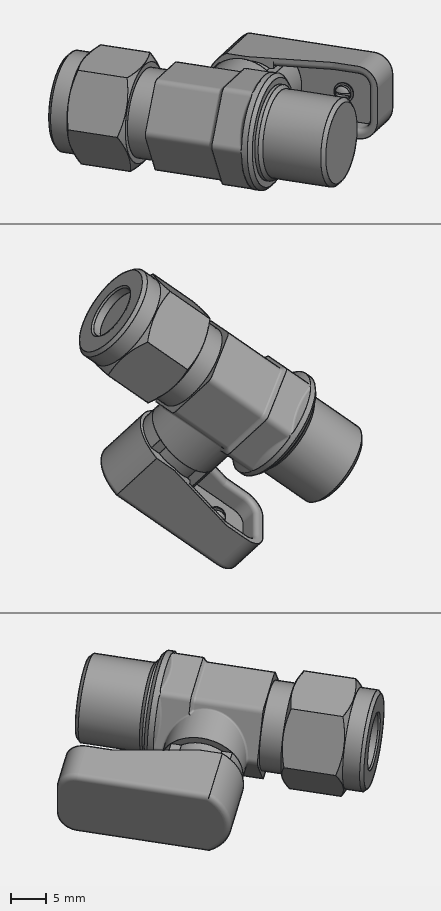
import cadquery as cq
import math

COS30 = math.cos(math.radians(30))
TAN30 = math.tan(math.radians(30))
TOLERANCE = 0.005

NUT_START = -22.9
TUBE_STOP = NUT_START + 1.5
NUT_HEX_START = NUT_START + 3.0
NUT_END = NUT_START + 12.03
SMALL_HEX_START = NUT_START + 15.35
RAMP_START = NUT_START + 25.33
RAMP_END = NUT_START + 25.85
FLANGE_START = NUT_START + 30.4
FLANGE_END = NUT_START + 31.85
COLLAR_END = FLANGE_END + 1.0
TAIL_END = NUT_START + 42.35

NUT_ACROSS_FLATS = 14.95
NUT_CORNER_RADIUS = NUT_ACROSS_FLATS / 2 / COS30
NUT_TURN_DEGREES = 4.6
NUT_COLLAR_RADIUS = 7.35
NUT_COLLAR_CHAMFER = 0.5
TUBE_RADIUS = 4.02
TUBE_CHAMFER = 0.25

SPIGOT_RADIUS = 6.55
SMALL_HEX_APOTHEM = 7.0
LARGE_HEX_APOTHEM = 7.5
HEX_EDGE_RADIUS = 1.1
RAMP_FILLET = 0.35
FLANGE_DIAMETER = 17.0
FLANGE_RADIUS = FLANGE_DIAMETER / 2
FLANGE_CHAMFER = 0.55
FLANGE_CONE_LENGTH = 0.65
CONE_FILLET = 0.35
BOSS_RADIUS = 6.0
BOSS_TOP = 10.45
BOSS_FILLET = 0.3

TAIL_RADIUS = 6.5
TAIL_CHAMFER = 0.55
COLLAR_RADIUS = 7.0

HUB_RADIUS = 5.0
LUG_HALF_HEIGHT = 4.02
HANDLE_BOTTOM = 12.45
HANDLE_TIP_BOTTOM = 15.05
HANDLE_TOP = 21.5
HANDLE_HALF_HEIGHT = 5.6
HANDLE_NOSE_RADIUS = 6.55
HANDLE_END = 18.85
SLOPE_START = -0.15
SLOPE_END = 12.0
HANDLE_CORNER_RADIUS = 3.05
HANDLE_TOP_FILLET = 0.8
HANDLE_WALL = 1.3
WALL_EDGE_RADIUS = 0.7
POCKET_START = 3.55
POCKET_END = HANDLE_END - HANDLE_WALL
POCKET_HALF_HEIGHT = HANDLE_HALF_HEIGHT - HANDLE_WALL
POCKET_FLOOR = 17.87

SCREW_X = 12.55
SCREW_RIM_RADIUS = 1.5
SCREW_RIM_HEIGHT = 0.15
SCREW_HEAD_RADIUS = 1.2
SCREW_HEAD_HEIGHT = 0.5
SCREW_DOME_HEIGHT = 0.5
SCREW_SLOT_WIDTH = 0.55
SCREW_SLOT_DEPTH = 0.85


def cylinder_x(start, end, radius):
    return cq.Workplane("YZ").workplane(offset=start).circle(radius).extrude(end - start)


def cylinder_y(start, end, radius):
    return cq.Workplane("XZ").workplane(offset=-start).circle(radius).extrude(start - end)


def turned_about_x(points):
    """Solid turned about X from (x, radius) points, closed along the axis."""
    outline = [(points[0][0], 0), *points, (points[-1][0], 0)]
    return cq.Workplane("XY").polyline(outline).close().revolve(360, (0, 0, 0), (1, 0, 0))


def hex_prism(start, end, apothem):
    """Hexagonal prism along X with two of its corners in the plane Z = 0."""
    return cq.Workplane("YZ").workplane(offset=start).polygon(6, 2 * apothem / COS30).extrude(end - start)


def rounded_hex(start, end, apothem):
    return hex_prism(start, end, apothem).edges("|X").fillet(HEX_EDGE_RADIUS)


def fillet_where(shape, radius, is_wanted):
    """Fillet the edges of a shape whose sampled points all pass the test."""
    samples = (0, 0.25, 0.5, 0.75, 1)
    edges = [
        edge
        for edge in shape.edges().vals()
        if all(is_wanted(edge.positionAt(sample)) for sample in samples)
    ]
    return shape.newObject(edges).fillet(radius)




def make_nut():
    bevel = (NUT_CORNER_RADIUS - NUT_COLLAR_RADIUS) * TAN30
    bevelled_blank = turned_about_x(
        [
            (NUT_HEX_START, NUT_COLLAR_RADIUS),
            (NUT_HEX_START + bevel, NUT_CORNER_RADIUS),
            (NUT_END - bevel, NUT_CORNER_RADIUS),
            (NUT_END, NUT_COLLAR_RADIUS),
        ]
    )
    wrench_hex = hex_prism(NUT_HEX_START, NUT_END, NUT_ACROSS_FLATS / 2)
    wrench_hex = wrench_hex.rotate((0, 0, 0), (1, 0, 0), NUT_TURN_DEGREES).intersect(bevelled_blank)
    collar = cylinder_x(NUT_START, NUT_HEX_START, NUT_COLLAR_RADIUS)
    collar = collar.faces("<X").chamfer(NUT_COLLAR_CHAMFER)
    tube_hole = turned_about_x(
        [
            (NUT_START, TUBE_RADIUS + TUBE_CHAMFER),
            (NUT_START + TUBE_CHAMFER, TUBE_RADIUS),
            (TUBE_STOP, TUBE_RADIUS),
        ]
    )
    spigot_recess = cylinder_x(TUBE_STOP, NUT_END, SPIGOT_RADIUS)
    return collar.union(wrench_hex).cut(tube_hole).cut(spigot_recess)




def make_hexes():
    """Small and large hexagon joined by a short ramp."""
    small_hex = rounded_hex(SMALL_HEX_START, RAMP_START, SMALL_HEX_APOTHEM)
    large_hex = rounded_hex(RAMP_END, FLANGE_END, LARGE_HEX_APOTHEM)
    ramp_ends = [small_hex.faces(">X").wires().val(), large_hex.faces("<X").wires().val()]
    ramp = cq.Workplane(cq.Solid.makeLoft(ramp_ends, True))
    hexes = small_hex.union(ramp).union(large_hex)
    return fillet_where(hexes, RAMP_FILLET, lambda point: abs(point.x - RAMP_START) < TOLERANCE)


def add_flange(hexes):
    """Flange with a conical back that blends into the flats of the large hexagon.

    The cone is first made wider than the flange, so that its blend runs all the way round the hexagon.
    """
    cone_start = FLANGE_START - FLANGE_CONE_LENGTH
    cone_end = FLANGE_START + FLANGE_CONE_LENGTH
    wide_radius = 2 * FLANGE_RADIUS - LARGE_HEX_APOTHEM
    wide_flange = turned_about_x(
        [(cone_start, LARGE_HEX_APOTHEM), (cone_end, wide_radius), (FLANGE_END, wide_radius)]
    )

    def is_on_cone_back(point):
        is_outside_flats = math.hypot(point.y, point.z) > LARGE_HEX_APOTHEM - TOLERANCE
        return is_outside_flats and cone_start - TOLERANCE < point.x < cone_end - TOLERANCE

    blended = fillet_where(hexes.union(wide_flange), CONE_FILLET, is_on_cone_back)
    rim = cylinder_x(SMALL_HEX_START, FLANGE_END, FLANGE_RADIUS).faces(">X").chamfer(FLANGE_CHAMFER)
    return blended.intersect(rim)


def make_body():
    body = add_flange(make_hexes()).union(cylinder_y(0, BOSS_TOP, BOSS_RADIUS))

    def is_at_boss_foot(point):
        is_on_boss = abs(math.hypot(point.x, point.z) - BOSS_RADIUS) < TOLERANCE
        return is_on_boss and 0 < point.y < FLANGE_RADIUS

    body = fillet_where(body, BOSS_FILLET, is_at_boss_foot)
    return body.union(cylinder_x(TUBE_STOP, SMALL_HEX_START, SPIGOT_RADIUS))




def make_tail():
    return turned_about_x(
        [
            (FLANGE_END, COLLAR_RADIUS),
            (COLLAR_END - (COLLAR_RADIUS - TAIL_RADIUS), COLLAR_RADIUS),
            (COLLAR_END, TAIL_RADIUS),
            (TAIL_END - TAIL_CHAMFER, TAIL_RADIUS),
            (TAIL_END, TAIL_RADIUS - TAIL_CHAMFER),
        ]
    )




def make_grip_blank():
    """Outer form of the handle: round nose, rounded end corners, sloped underside."""
    nose_x = -math.sqrt(HANDLE_NOSE_RADIUS**2 - HANDLE_HALF_HEIGHT**2)
    grip = (
        cq.Workplane("XZ")
        .moveTo(nose_x, HANDLE_HALF_HEIGHT)
        .threePointArc((-HANDLE_NOSE_RADIUS, 0), (nose_x, -HANDLE_HALF_HEIGHT))
        .lineTo(HANDLE_END, -HANDLE_HALF_HEIGHT)
        .lineTo(HANDLE_END, HANDLE_HALF_HEIGHT)
        .close()
        .extrude(-HANDLE_TOP)
        .edges(">X and |Y")
        .fillet(HANDLE_CORNER_RADIUS)
        .faces(">Y")
        .edges()
        .fillet(HANDLE_TOP_FILLET)
    )
    side_profile = [
        (-HANDLE_NOSE_RADIUS, HANDLE_BOTTOM),
        (SLOPE_START, HANDLE_BOTTOM),
        (SLOPE_END, HANDLE_TIP_BOTTOM),
        (HANDLE_END, HANDLE_TIP_BOTTOM),
        (HANDLE_END, HANDLE_TOP),
        (-HANDLE_NOSE_RADIUS, HANDLE_TOP),
    ]
    side = cq.Workplane("XY").polyline(side_profile).close().extrude(HANDLE_HALF_HEIGHT, both=True)
    return grip.intersect(side)


def make_pocket():
    return (
        cq.Workplane("XZ")
        .center((POCKET_START + POCKET_END) / 2, 0)
        .rect(POCKET_END - POCKET_START, 2 * POCKET_HALF_HEIGHT)
        .extrude(-POCKET_FLOOR)
        .edges(">X and |Y")
        .fillet(HANDLE_CORNER_RADIUS - HANDLE_WALL)
    )


def make_hub():
    """Round hub reaching down to the boss, with a stop lug on each side."""
    hub = cylinder_y(BOSS_TOP, POCKET_FLOOR, HUB_RADIUS)
    lug_band = cq.Workplane("XY").box(2 * BOSS_RADIUS, 2 * POCKET_FLOOR, 2 * LUG_HALF_HEIGHT)
    lugs = cylinder_y(BOSS_TOP, POCKET_FLOOR, BOSS_RADIUS).intersect(lug_band)
    return hub.union(lugs)


def make_handle():
    slope = (HANDLE_TIP_BOTTOM - HANDLE_BOTTOM) / (SLOPE_END - SLOPE_START)

    def is_on_pocket_rim(point):
        underside = min(HANDLE_BOTTOM + slope * (point.x - SLOPE_START), HANDLE_TIP_BOTTOM)
        is_on_underside = abs(point.y - underside) < TOLERANCE
        is_inside = abs(point.z) < POCKET_HALF_HEIGHT + TOLERANCE and point.x < POCKET_END + TOLERANCE
        return is_on_underside and is_inside and point.x > POCKET_START - TOLERANCE

    def is_on_rounded_rim(point):
        is_on_hub_side = point.x < POCKET_START + TOLERANCE and abs(point.z) < POCKET_HALF_HEIGHT - TOLERANCE
        return is_on_pocket_rim(point) and not is_on_hub_side

    grip = fillet_where(make_grip_blank().cut(make_pocket()), WALL_EDGE_RADIUS, is_on_rounded_rim)
    return grip.union(make_hub())




def make_screw():
    """Slotted round-headed screw standing on the pocket floor and pointing down into the pocket."""
    rim_end = POCKET_FLOOR - SCREW_RIM_HEIGHT
    dome_start = rim_end - SCREW_HEAD_HEIGHT
    tip = dome_start - SCREW_DOME_HEIGHT
    dome_radius = (SCREW_HEAD_RADIUS**2 + SCREW_DOME_HEIGHT**2) / (2 * SCREW_DOME_HEIGHT)
    mid_dome_x = SCREW_HEAD_RADIUS / 2
    mid_dome_y = tip + dome_radius - math.sqrt(dome_radius**2 - mid_dome_x**2)
    screw = (
        cq.Workplane("XY")
        .moveTo(0, POCKET_FLOOR)
        .lineTo(SCREW_RIM_RADIUS, POCKET_FLOOR)
        .lineTo(SCREW_RIM_RADIUS, rim_end)
        .lineTo(SCREW_HEAD_RADIUS, rim_end)
        .lineTo(SCREW_HEAD_RADIUS, dome_start)
        .threePointArc((mid_dome_x, mid_dome_y), (0, tip))
        .close()
        .revolve(360, (0, 0, 0), (0, 1, 0))
    )
    slot = cq.Workplane("XY").box(2 * SCREW_RIM_RADIUS, 2 * SCREW_SLOT_DEPTH, SCREW_SLOT_WIDTH)
    return screw.cut(slot.translate((0, tip, 0))).translate((SCREW_X, 0, 0))


nut = make_nut()
body = make_body()
tail = make_tail()
handle = make_handle()
screw = make_screw()

result = cq.Compound.makeCompound([nut.val(), body.val(), tail.val(), handle.val(), screw.val()])